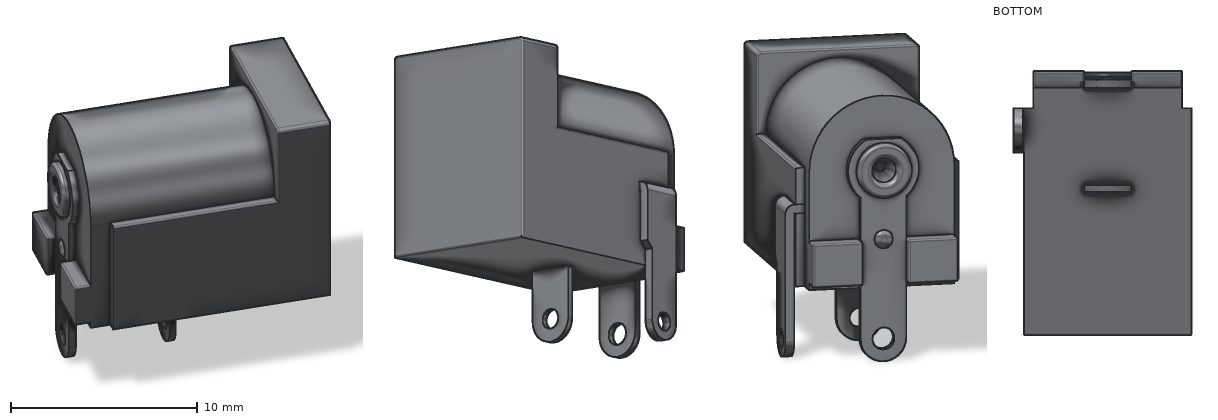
import cadquery as cq
import math


bottom_z = -6.5
flange_width = 9.0
flange_top_z = 4.5
flange_depth = 3.0
base_top_z = 0.0
base_end_y = -12.2
barrel_radius = 8.0 / 2
barrel_end_y = -13.3
top_edge_radius = 0.22
shoulder_edge_radius = 0.1
mating_edge_radius = 0.1
select_margin = 0.02

guard_end_y = -14.2
guard_top_z = -3.8
guard_bottom_z = -6.2
guard_edge_radius = 0.1

tab_width = 2.5
tab_bottom_z = -10.5
tab_hole_z = tab_bottom_z + tab_width / 2
rear_tab_thickness = 0.4
rear_tab_hole_diameter = 1.2
rear_tab_head_radius = 1.95
rear_tab_head_top_z = 1.7
dimple_z = guard_top_z
dimple_radius = 1.0 / 2
dimple_height = 0.15
dimple_tip_radius = 0.15
spring_tab_rear_y = -8.05
spring_tab_thickness = 0.35
spring_tab_hole_diameter = 1.08

side_tab_thickness = 0.5
side_tab_outer_x = -5.05
side_tab_top_z = -2.0
side_tab_shoulder_width = 2.4
side_tab_leg_width = 2.0
side_tab_step_z = -5.25
side_tab_hole_diameter = 1.0

pin_head_radius = 1.5
pin_head_height = 0.4
pin_head_edge_radius = 0.2
pin_shank_radius = 2.0 / 2
pin_shank_depth = 1.5
pin_bore_radius = 1.3 / 2
pin_bore_mouth_radius = 0.3
pin_bore_tip_radius = 0.25
pin_bore_depth = 1.2


def box(x0, x1, y0, y1, z0, z1):
    """Box between two corners."""
    return cq.Workplane("XY").box(x1 - x0, y1 - y0, z1 - z0, centered=False).translate((x0, y0, z0))


def cylinder_toward_rear(radius, front_y, rear_y, z=0):
    """Cylinder along Y at X = 0, from front_y back to rear_y."""
    return cq.Workplane("XZ", origin=(0, front_y, z)).circle(radius).extrude(front_y - rear_y)


def make_shell():
    """Mating flange with the lower, full-width base that runs back from it."""
    half_width = flange_width / 2
    shell = (
        cq.Workplane("YZ", origin=(-half_width, 0, 0))
        .moveTo(0, bottom_z)
        .lineTo(0, flange_top_z)
        .lineTo(-flange_depth, flange_top_z)
        .lineTo(-flange_depth, base_top_z)
        .lineTo(base_end_y, base_top_z)
        .lineTo(base_end_y, bottom_z)
        .close()
        .extrude(flange_width)
    )
    shell = shell.faces(">Z").edges("|Y").fillet(top_edge_radius)
    flange_rear_edges = cq.selectors.BoxSelector(
        (-half_width - select_margin, -flange_depth - select_margin, base_top_z + select_margin),
        (half_width + select_margin, -flange_depth + select_margin, flange_top_z + select_margin),
    )
    base_top_edges = cq.selectors.BoxSelector(
        (-half_width - select_margin, base_end_y + select_margin, base_top_z - select_margin),
        (half_width + select_margin, -flange_depth - select_margin, base_top_z + select_margin),
    )
    shell = shell.edges(flange_rear_edges + base_top_edges).fillet(shoulder_edge_radius)
    return shell.faces(">Y").edges().fillet(mating_edge_radius)


def make_barrel():
    """Round-topped barrel that rises from the base and runs on behind it."""
    return (
        cq.Workplane("XZ", origin=(0, -flange_depth, 0))
        .moveTo(-barrel_radius, bottom_z)
        .lineTo(-barrel_radius, 0)
        .threePointArc((0, barrel_radius), (barrel_radius, 0))
        .lineTo(barrel_radius, bottom_z)
        .close()
        .extrude(-flange_depth - barrel_end_y)
    )


def make_guard(x0, x1):
    """Guard block behind the barrel, with rounded outer edges."""
    guard = box(x0, x1, guard_end_y, barrel_end_y, guard_bottom_z, guard_top_z)
    return guard.edges("not >Y").fillet(guard_edge_radius)


def make_housing():
    """Housing with the recesses that hold the side terminal and the pin."""
    half_gap = tab_width / 2
    housing = make_shell().union(make_barrel())
    housing = housing.union(make_guard(-barrel_radius, -half_gap))
    housing = housing.union(make_guard(half_gap, barrel_radius))
    pin_socket = cylinder_toward_rear(pin_shank_radius, barrel_end_y + pin_shank_depth, barrel_end_y)
    return housing.cut(make_bent_strip()).cut(pin_socket)


def make_tab(top_z, front_y, thickness, hole_diameter):
    """Flat solder tab with a round lower end and an eye."""
    half_width = tab_width / 2
    return (
        cq.Workplane("XZ", origin=(0, front_y, 0))
        .moveTo(-half_width, top_z)
        .lineTo(-half_width, tab_hole_z)
        .threePointArc((0, tab_bottom_z), (half_width, tab_hole_z))
        .lineTo(half_width, top_z)
        .close()
        .extrude(thickness)
        .cut(cylinder_toward_rear(hole_diameter / 2, front_y, front_y - thickness, tab_hole_z))
    )


def make_dimple():
    """Low dome with a flat tip, raised on the rear terminal."""
    run = dimple_radius - dimple_tip_radius
    arc_radius = (run**2 + dimple_height**2) / (2 * dimple_height)
    half_angle = math.asin(run / arc_radius) / 2
    arc_mid = (
        dimple_tip_radius + arc_radius * math.sin(half_angle),
        -dimple_height + arc_radius * (1 - math.cos(half_angle)),
    )
    return (
        cq.Workplane("XY")
        .lineTo(dimple_radius, 0)
        .threePointArc(arc_mid, (dimple_tip_radius, -dimple_height))
        .lineTo(0, -dimple_height)
        .close()
        .revolve(360, (0, 0), (0, 1))
        .translate((0, barrel_end_y - rear_tab_thickness, dimple_z))
    )


def make_rear_terminal():
    """Tab with a flat-topped round head, clamped under the pin head."""
    rear_y = barrel_end_y - rear_tab_thickness
    head = cylinder_toward_rear(rear_tab_head_radius, barrel_end_y, rear_y)
    head_limits = box(
        -rear_tab_head_radius,
        rear_tab_head_radius,
        rear_y,
        barrel_end_y,
        -rear_tab_head_radius,
        rear_tab_head_top_z,
    )
    tab = make_tab(0, barrel_end_y, rear_tab_thickness, rear_tab_hole_diameter)
    terminal = tab.union(head.intersect(head_limits)).union(make_dimple())
    return terminal.cut(cylinder_toward_rear(pin_shank_radius, barrel_end_y, rear_y))


def make_bent_strip():
    """Constant-width strip: a flap that ends at the barrel side, bent down into a hanging leg."""
    shoulder_y = base_end_y + side_tab_shoulder_width
    leg_inner_x = side_tab_outer_x + side_tab_thickness
    flap_bottom_z = side_tab_top_z - side_tab_thickness
    return (
        cq.Workplane("XZ", origin=(0, shoulder_y, 0))
        .moveTo(-barrel_radius, side_tab_top_z)
        .lineTo(leg_inner_x, side_tab_top_z)
        .radiusArc((side_tab_outer_x, flap_bottom_z), -side_tab_thickness)
        .lineTo(side_tab_outer_x, tab_bottom_z)
        .lineTo(leg_inner_x, tab_bottom_z)
        .lineTo(leg_inner_x, flap_bottom_z)
        .lineTo(-barrel_radius, flap_bottom_z)
        .close()
        .extrude(side_tab_shoulder_width)
    )


def make_side_terminal():
    """Bent strip trimmed to a stepped, round-ended outline, with an eye."""
    step = side_tab_shoulder_width - side_tab_leg_width
    leg_radius = side_tab_leg_width / 2
    eye_y = base_end_y + leg_radius
    eye_z = tab_bottom_z + leg_radius
    shoulder_y = base_end_y + side_tab_shoulder_width
    leg_front_y = base_end_y + side_tab_leg_width
    flap_length = -barrel_radius - side_tab_outer_x
    outline = (
        cq.Workplane("YZ", origin=(side_tab_outer_x, 0, 0))
        .moveTo(base_end_y, side_tab_top_z)
        .lineTo(shoulder_y, side_tab_top_z)
        .lineTo(shoulder_y, side_tab_step_z)
        .lineTo(leg_front_y, side_tab_step_z - step)
        .lineTo(leg_front_y, eye_z)
        .threePointArc((eye_y, tab_bottom_z), (base_end_y, eye_z))
        .close()
        .extrude(flap_length)
    )
    eye = (
        cq.Workplane("YZ", origin=(side_tab_outer_x, eye_y, eye_z))
        .circle(side_tab_hole_diameter / 2)
        .extrude(side_tab_thickness)
    )
    return make_bent_strip().intersect(outline).cut(eye)


def make_pin():
    """Riveted pin: rounded head, shank through the rear terminal, tapered bore."""
    head_front_y = barrel_end_y - rear_tab_thickness
    head_rear_y = head_front_y - pin_head_height
    shank_front_y = barrel_end_y + pin_shank_depth
    bore_bottom_y = head_rear_y + pin_bore_depth
    mouth_outer_radius = pin_bore_radius + pin_bore_mouth_radius
    mouth_inner_y = head_rear_y + pin_bore_mouth_radius
    return (
        cq.Workplane("XY")
        .moveTo(0, shank_front_y)
        .lineTo(pin_shank_radius, shank_front_y)
        .lineTo(pin_shank_radius, head_front_y)
        .lineTo(pin_head_radius, head_front_y)
        .lineTo(pin_head_radius, head_rear_y + pin_head_edge_radius)
        .radiusArc((pin_head_radius - pin_head_edge_radius, head_rear_y), pin_head_edge_radius)
        .lineTo(mouth_outer_radius, head_rear_y)
        .radiusArc((pin_bore_radius, mouth_inner_y), pin_bore_mouth_radius)
        .lineTo(pin_bore_tip_radius, bore_bottom_y)
        .lineTo(0, bore_bottom_y)
        .close()
        .revolve(360, (0, 0), (0, 1))
    )


housing = make_housing()
rear_terminal = make_rear_terminal()
spring_terminal = make_tab(
    bottom_z, spring_tab_rear_y + spring_tab_thickness, spring_tab_thickness, spring_tab_hole_diameter
)
side_terminal = make_side_terminal()
pin = make_pin()

result = cq.Compound.makeCompound(
    [housing.val(), rear_terminal.val(), spring_terminal.val(), side_terminal.val(), pin.val()]
)